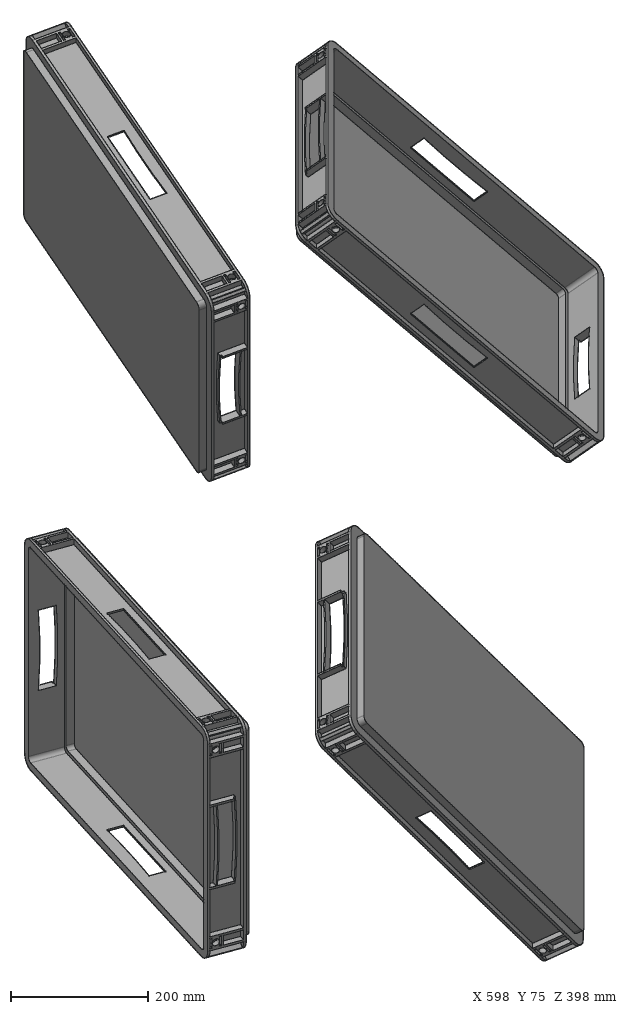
import cadquery as cq
import math

LENGTH = 598.0
DEPTH = 75.0
HEIGHT = 398.0
CORNER_RADIUS = 20.0
OVERLAP = 1.0

RIM_Y = DEPTH / 2
BASE_Y = -DEPTH / 2
BASE_DEPTH = 12.0
BODY_Y = BASE_Y + BASE_DEPTH
RIM_THICKNESS = 4.0
FLANGE_THICKNESS = 4.5
BELT_TOP = RIM_Y - RIM_THICKNESS
BELT_BOTTOM = BODY_Y + FLANGE_THICKNESS

BELT_RECESS = 10.0
WALL = 3.0
CORE_LENGTH = LENGTH - 2 * BELT_RECESS
CORE_HEIGHT = HEIGHT - 2 * BELT_RECESS
CORE_RADIUS = CORNER_RADIUS - BELT_RECESS
BASE_END_INSET = 15.3
BASE_SIDE_INSET = 16.0
BASE_LENGTH = LENGTH - 2 * BASE_END_INSET
BASE_HEIGHT = HEIGHT - 2 * BASE_SIDE_INSET
BASE_RADIUS = 9.0

WEB_THICKNESS = 5.0

BLOCK_START = 20.0
BLOCK_END = 44.3
BLOCK_RIB = 3.8
DIVIDER_TOP = RIM_Y - 22.5
DIVIDER_BOTTOM = RIM_Y - 25.5
SOCKET_BAR_WIDTH = 12.0
SOCKET_DIAMETER = 11.5
SOCKET_Y = RIM_Y - 13.5

SLOT_HALF_LENGTH = 69.0
SLOT_TOP = RIM_Y - 19.5
SLOT_BOTTOM = RIM_Y - 46.5
SLOT_BOW = 1.5

HANDLE_HALF_LENGTH = 69.5
HANDLE_TOP = RIM_Y - 16.2
HANDLE_BOTTOM = RIM_Y - 45.3
HANDLE_BOW = 2.5
HANDLE_FRAME = 3.6
HANDLE_LIP = 2.2
HANDLE_SETBACK = 4.0


def slab(length, height, radius, y_low, y_high):
    """Rounded rectangle in the XZ plane, running from y_low to y_high."""
    plate = cq.Workplane("XZ", origin=(0, y_low, 0)).rect(length, height)
    return plate.extrude(y_low - y_high).edges("|Y").fillet(radius)


def block(x_low, x_high, y_low, y_high, z_low, z_high):
    """Box given by its limits."""
    size = (x_high - x_low, y_high - y_low, z_high - z_low)
    return cq.Workplane("XY").box(*size, centered=False).translate((x_low, y_low, z_low))


def bowed_bar(half_length, y_low, low_bow, y_high, high_bow, z_low, z_high):
    """Bar along X whose long edges swell towards -Y by the given bows."""
    outline = cq.Workplane("XY", origin=(0, 0, z_low)).moveTo(-half_length, y_low)
    if low_bow:
        outline = outline.threePointArc((0, y_low - low_bow), (half_length, y_low))
    else:
        outline = outline.lineTo(half_length, y_low)
    outline = outline.lineTo(half_length, y_high)
    if high_bow:
        outline = outline.threePointArc((0, y_high - high_bow), (-half_length, y_high))
    else:
        outline = outline.lineTo(-half_length, y_high)
    return outline.close().extrude(z_high - z_low)


def stacking_block(side_length, reach):
    """Ribbed block at the +X end of a side that faces +Z and lies at z = reach."""
    x_low = side_length / 2 - BLOCK_END
    x_high = side_length / 2 - BLOCK_START
    z_low = reach - BELT_RECESS - OVERLAP
    outer_rib = block(x_high - BLOCK_RIB, x_high, BODY_Y, RIM_Y, z_low, reach)
    inner_rib = block(x_low, x_low + BLOCK_RIB, BODY_Y, RIM_Y, z_low, reach)
    divider = block(x_low, x_high, DIVIDER_BOTTOM, DIVIDER_TOP, z_low, reach)
    half_bar = SOCKET_BAR_WIDTH / 2
    bar = block(x_low, x_high, SOCKET_Y - half_bar, SOCKET_Y + half_bar, z_low, reach)
    socket = cq.Workplane("XY", origin=((x_low + x_high) / 2, SOCKET_Y, reach - BELT_RECESS))
    socket = socket.circle(SOCKET_DIAMETER / 2).extrude(BELT_RECESS)
    return outer_rib.union(inner_rib).union(divider).union(bar.cut(socket))


def side_blocks(side_length, reach):
    """Both stacking blocks of a side that faces +Z."""
    end_block = stacking_block(side_length, reach)
    return end_block.union(end_block.mirror("YZ"))


def corner_web(sign_x, sign_z):
    """Diagonal web in one corner of the belt, with its flat end just inside the rounded corner."""
    axis_x = LENGTH / 2 - CORNER_RADIUS
    axis_z = HEIGHT / 2 - CORNER_RADIUS
    half_web = WEB_THICKNESS / 2
    web_end = math.sqrt(CORNER_RADIUS**2 - half_web**2)
    root = CORE_RADIUS - OVERLAP
    web = block(root, web_end, BODY_Y, RIM_Y, -half_web, half_web)
    angle = math.degrees(math.atan2(sign_z, sign_x))
    web = web.rotate((0, 0, 0), (0, 1, 0), -angle)
    return web.translate((sign_x * axis_x, 0, sign_z * axis_z))


def handle_frame(reach):
    """Frame around a handle on a side that faces +Z, with a recess between its lip and the rim."""
    half_outer = HANDLE_HALF_LENGTH + HANDLE_FRAME
    low_outer = HANDLE_BOTTOM - HANDLE_LIP
    lip_top = HANDLE_TOP + HANDLE_LIP
    face = reach - BELT_RECESS
    frame = bowed_bar(half_outer, low_outer, HANDLE_BOW, RIM_Y, 0, face - OVERLAP, reach)
    recess = bowed_bar(HANDLE_HALF_LENGTH, lip_top, HANDLE_BOW, BELT_TOP, 0, face, reach)
    lip_face = reach - HANDLE_SETBACK
    setback = bowed_bar(
        half_outer, low_outer - OVERLAP, HANDLE_BOW, HANDLE_BOTTOM + OVERLAP, HANDLE_BOW, lip_face, reach
    )
    return frame.cut(recess).cut(setback)


def handle_opening(reach):
    """Bowed passage through a handle on a side that faces +Z."""
    inner = reach - BELT_RECESS - WALL - OVERLAP
    return bowed_bar(
        HANDLE_HALF_LENGTH, HANDLE_BOTTOM, HANDLE_BOW, HANDLE_TOP, HANDLE_BOW, inner, reach
    )


def on_short_sides(feature):
    """Copies of a +Z feature turned onto the +X and -X sides."""
    turned = feature.rotate((0, 0, 0), (0, 1, 0), 90)
    return turned.union(turned.mirror("YZ"))


def on_long_sides(feature):
    """A +Z feature together with its copy on the -Z side."""
    return feature.union(feature.mirror("XY"))


base = slab(BASE_LENGTH, BASE_HEIGHT, BASE_RADIUS, BASE_Y, BODY_Y)
core = slab(CORE_LENGTH, CORE_HEIGHT, CORE_RADIUS, BODY_Y, RIM_Y)
rim = slab(LENGTH, HEIGHT, CORNER_RADIUS, BELT_TOP, RIM_Y)
flange = slab(LENGTH, HEIGHT, CORNER_RADIUS, BODY_Y, BELT_BOTTOM)
crate = base.union(core).union(rim).union(flange)

cavity = slab(
    CORE_LENGTH - 2 * WALL, CORE_HEIGHT - 2 * WALL, CORE_RADIUS - WALL, BELT_BOTTOM, RIM_Y
)
base_cavity = slab(
    BASE_LENGTH - 2 * WALL, BASE_HEIGHT - 2 * WALL, BASE_RADIUS - WALL, BASE_Y + WALL, BELT_BOTTOM
)
crate = crate.cut(cavity).cut(base_cavity)

crate = crate.union(on_long_sides(side_blocks(LENGTH, HEIGHT / 2)))
crate = crate.union(on_short_sides(side_blocks(HEIGHT, LENGTH / 2)))
for sign_x in (-1, 1):
    for sign_z in (-1, 1):
        crate = crate.union(corner_web(sign_x, sign_z))

slot = bowed_bar(
    SLOT_HALF_LENGTH, SLOT_BOTTOM, 0, SLOT_TOP, SLOT_BOW, CORE_HEIGHT / 2 - WALL - OVERLAP, HEIGHT / 2
)
crate = crate.cut(on_long_sides(slot))
crate = crate.union(on_short_sides(handle_frame(LENGTH / 2)))
crate = crate.cut(on_short_sides(handle_opening(LENGTH / 2)))

result = crate